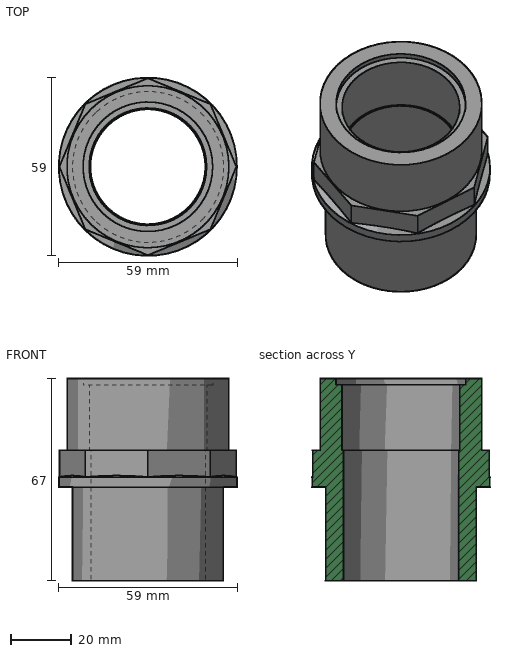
import cadquery as cq

total_height = 67.0
flange_bottom = 31.0
flange_top = 34.4
octagon_top = 43.3
flange_slope_rise = 0.6

spigot_diameter = 50.0
flange_diameter = 59.0
socket_diameter = 53.6
octagon_corner_diameter = 58.55

recess_diameter = 42.9
recess_depth = 2.0
socket_bore_diameter = 38.9
socket_bore_depth = 23.7
through_bore_diameter = 38.0


def cylinder(diameter, bottom, top):
    """Upright cylinder centred on the pipe axis."""
    return cq.Workplane("XY").workplane(offset=bottom).circle(diameter / 2).extrude(top - bottom)


def octagon():
    """Wrench grip with corners on the X and Y axes."""
    grip = cq.Workplane("XY").workplane(offset=flange_top)
    return grip.polygon(8, octagon_corner_diameter).extrude(octagon_top - flange_top)


def sloped_flange_face():
    """Shallow cone rising from the flange rim to the socket diameter."""
    outer_radius = flange_diameter / 2
    inner_radius = socket_diameter / 2
    cone = cq.Solid.makeCone(
        outer_radius, inner_radius, flange_slope_rise, pnt=cq.Vector(0, 0, flange_top)
    )
    return cq.Workplane("XY").add(cone)


body = (
    cylinder(spigot_diameter, 0, flange_bottom)
    .union(cylinder(flange_diameter, flange_bottom, flange_top))
    .union(sloped_flange_face())
    .union(octagon())
    .union(cylinder(socket_diameter, octagon_top, total_height))
)

result = (
    body.cut(cylinder(through_bore_diameter, 0, total_height))
    .cut(cylinder(socket_bore_diameter, total_height - socket_bore_depth, total_height))
    .cut(cylinder(recess_diameter, total_height - recess_depth, total_height))
)